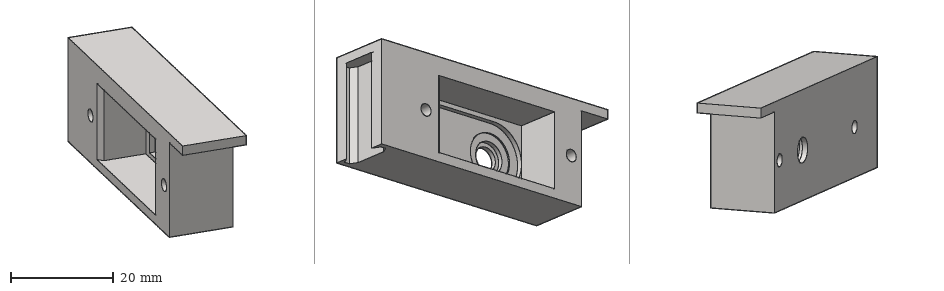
import cadquery as cq

length = 58.5
thickness = 13.6
height = 22.2
wall = 2.0
body_length = 51.75

pocket_left = 14.75
pocket_right = 44.7
pocket_height = 16.2
pocket_depth = 9.95
mouth_chamfer = 1.05

axis_z = wall + pocket_height / 2
recess_left = 17.75
recess_radius = 7.15
recess_depth = 1.15
bore_x = pocket_right - recess_radius

seat_diameter = 10.1
seat_depth = 0.35
step_diameter = 6.8
step_depth = 1.0
bore_diameter = 5.1

screw_diameter = 2.6
screw_xs = (11.45, 49.05)

mouth_half = 3.75
undercut_half = 5.45
back_half = 3.8
undercut_start = 0.95
undercut_end = 2.15
groove_depth = 3.05
groove_height = height - wall


def make_body():
    """Block with a thin lip carried past its right end along the top."""
    block = cq.Workplane("XY").box(body_length, thickness, height, centered=False)
    top_plate = (
        cq.Workplane("XY")
        .box(length, thickness, wall, centered=False)
        .translate((0, 0, height - wall))
    )
    return block.union(top_plate)


def cylinder_along_y(x, diameter, start, depth):
    """Cylinder on the common hole height, running from y = start toward +Y."""
    return (
        cq.Workplane("XZ", origin=(x, start, axis_z))
        .circle(diameter / 2)
        .extrude(-depth)
    )


def make_pocket():
    """Pocket with a 45 degree chamfer on the left edge of its mouth."""
    return (
        cq.Workplane("XY", origin=(0, 0, wall))
        .moveTo(pocket_left, 0)
        .lineTo(pocket_right, 0)
        .lineTo(pocket_right, pocket_depth)
        .lineTo(pocket_left + mouth_chamfer, pocket_depth)
        .lineTo(pocket_left + mouth_chamfer, mouth_chamfer)
        .close()
        .extrude(pocket_height)
    )


def make_recess():
    """Recess with a square left end and a half-round right end."""
    return (
        cq.Workplane("XZ", origin=(0, pocket_depth, axis_z))
        .moveTo(recess_left, -recess_radius)
        .lineTo(bore_x, -recess_radius)
        .threePointArc((pocket_right, 0), (bore_x, recess_radius))
        .lineTo(recess_left, recess_radius)
        .close()
        .extrude(-recess_depth)
    )


def make_bore():
    """Shallow seat, counterbore and through hole on one axis."""
    seat_start = pocket_depth + recess_depth
    step_start = seat_start + seat_depth
    seat = cylinder_along_y(bore_x, seat_diameter, seat_start, seat_depth)
    step = cylinder_along_y(bore_x, step_diameter, step_start, step_depth)
    through = cylinder_along_y(bore_x, bore_diameter, seat_start, thickness - seat_start)
    return seat.union(step).union(through)


def make_groove():
    """Groove symmetric about mid-thickness, wider inside than at its mouth."""
    half_profile = [
        (0, mouth_half),
        (undercut_start, undercut_half),
        (undercut_end, undercut_half),
        (groove_depth, back_half),
    ]
    mirrored = [(x, -y) for x, y in reversed(half_profile)]
    return (
        cq.Workplane("XY", origin=(0, thickness / 2, 0))
        .polyline(half_profile + mirrored)
        .close()
        .extrude(groove_height)
    )


result = make_body().cut(make_pocket()).cut(make_recess()).cut(make_bore()).cut(make_groove())
for screw_x in screw_xs:
    result = result.cut(cylinder_along_y(screw_x, screw_diameter, 0, thickness))